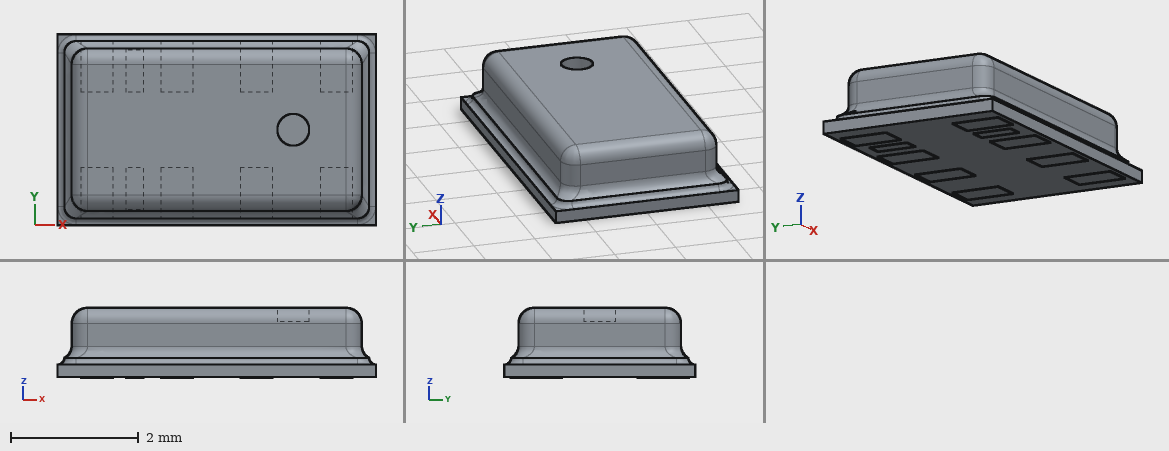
import cadquery as cq
import math

length = 5.0
width = 3.0
height = 1.1

pad_thickness = 0.01
board_thickness = 0.2
board_top = pad_thickness + board_thickness
pad_length = 0.5
pad_width = 0.81
pad_edge_gap = 0.1
pad_centers_x = (-1.875, -0.625, 0.625, 1.875)
narrow_pad_length = 0.28
narrow_pad_width = 0.66
narrow_pad_x = -1.285

wall_inset = 0.225
wall_corner_radius = 0.25
corner_clearance = 0.0005
top_edge_radius = wall_corner_radius - corner_clearance
wall_bottom = 0.495
skirt_inset = 0.11
skirt_corner_radius = 0.185
foot_radius = 0.1
skirt_bottom = board_top + foot_radius
skirt_steps = 6
foot_steps = 8

port_diameter = 0.5
port_depth = 0.22
port_x = 1.2


def rounded_rectangle(inset, corner_radius, z):
    """Closed outline, inset from the board edges, at height z."""
    sketch = cq.Sketch().rect(length - 2 * inset, width - 2 * inset)
    sketch = sketch.vertices().fillet(corner_radius)
    return cq.Workplane("XY").workplane(offset=z).placeSketch(sketch)


def outline_wire(inset, corner_radius, z):
    """Bottom wire of a short prism standing on the outline."""
    return rounded_rectangle(inset, corner_radius, z).extrude(foot_radius).faces("<Z").wires().val()


def make_board():
    plate = cq.Workplane("XY").box(length, width, board_thickness, centered=(True, True, False))
    return plate.translate((0, 0, pad_thickness))


def make_pad(x, side, size_x, size_y):
    """Pad on one side of the board; inner ends of all pads line up."""
    inner_end = width / 2 - pad_edge_gap - pad_width
    pad = cq.Workplane("XY").box(size_x, size_y, pad_thickness, centered=(True, True, False))
    return pad.translate((x, side * (inner_end + size_y / 2), 0))


def make_walls():
    walls = rounded_rectangle(wall_inset, wall_corner_radius, wall_bottom).extrude(height - wall_bottom)
    return walls.faces(">Z").edges().fillet(top_edge_radius)


def make_skirt():
    """Concave flare, tangent to the walls, that blends the two corner radii."""
    rise = wall_bottom - skirt_bottom
    run = wall_inset - skirt_inset
    flare_radius = (rise**2 + run**2) / (2 * run)
    sweep_angle = math.asin(rise / flare_radius)
    sections = []
    for step in range(skirt_steps + 1):
        angle = sweep_angle * (1 - step / skirt_steps)
        outward = flare_radius * (1 - math.cos(angle))
        blend = outward / run
        corner_radius = wall_corner_radius + blend * (skirt_corner_radius - wall_corner_radius)
        z = wall_bottom - flare_radius * math.sin(angle)
        sections.append(outline_wire(wall_inset - outward, corner_radius, z))
    return cq.Workplane(obj=cq.Solid.makeLoft(sections))


def make_foot():
    """Concave quarter-round between the skirt and the board."""
    sections = []
    for step in range(foot_steps + 1):
        angle = math.pi / 2 * step / foot_steps
        outward = foot_radius * (1 - math.cos(angle))
        z = skirt_bottom - foot_radius * math.sin(angle)
        sections.append(outline_wire(skirt_inset - outward, skirt_corner_radius + outward, z))
    return cq.Workplane(obj=cq.Solid.makeLoft(sections))


result = make_board().union(make_foot()).union(make_skirt()).union(make_walls())

for side in (-1, 1):
    for pad_x in pad_centers_x:
        result = result.union(make_pad(pad_x, side, pad_length, pad_width))
    result = result.union(make_pad(narrow_pad_x, side, narrow_pad_length, narrow_pad_width))

port = cq.Workplane("XY").circle(port_diameter / 2).extrude(port_depth)
result = result.cut(port.translate((port_x, 0, height - port_depth)))